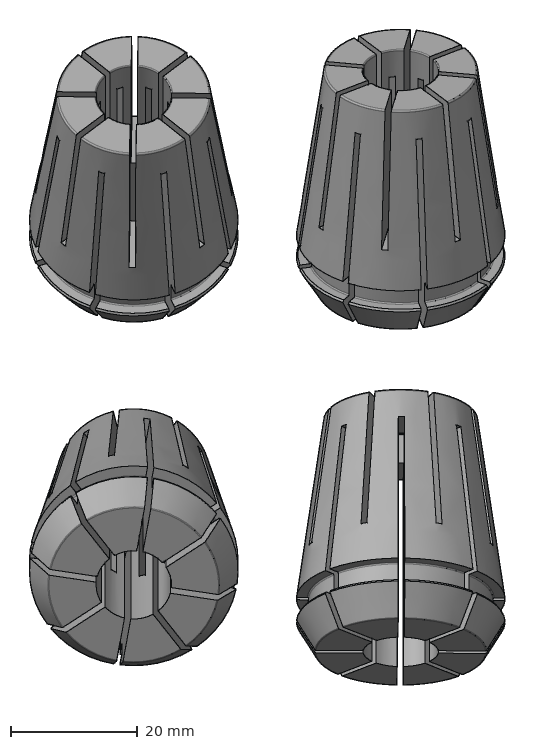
import cadquery as cq
import math

length = 40.0
max_radius = 16.5

bore_radius = 11.91 / 2

taper_angle = math.radians(8.0)
taper_base_z = 9.1

groove_radius = 14.6
groove_floor_z = 5.5
nose_angle = math.radians(30.0)
rim_chamfer_width = 0.25
rim_chamfer_height = 0.35

edge_radius = 0.2
taper_tip_radius = 0.3
selection_margin = 0.05

slot_count = 8
slot_width = 1.0
lower_slot_web = 5.0
upper_slot_depth = 24.0

slot_pitch = 360.0 / slot_count
taper_top_radius = max_radius - (length - taper_base_z) * math.tan(taper_angle)
rim_z = groove_floor_z - rim_chamfer_height
nose_radius = max_radius - rim_z * math.tan(nose_angle)


def circles_at(height, radius):
    """Select the circular edges of one radius at one height."""
    outer = radius + selection_margin
    inner = radius - selection_margin
    low = height - selection_margin
    high = height + selection_margin
    ring = cq.selectors.BoxSelector((-outer, -outer, low), (outer, outer, high), boundingbox=True)
    core = cq.selectors.BoxSelector((-inner, -inner, low), (inner, inner, high), boundingbox=True)
    return ring - core


def collet_body():
    """Revolve the half section of the collet about Z and round its small edges."""
    section = [
        (bore_radius, 0),
        (nose_radius, 0),
        (max_radius, rim_z),
        (max_radius - rim_chamfer_width, groove_floor_z),
        (groove_radius, groove_floor_z),
        (groove_radius, taper_base_z),
        (max_radius, taper_base_z),
        (taper_top_radius, length),
        (bore_radius, length),
    ]
    profile = cq.Workplane("XZ").polyline(section).close()
    body = profile.revolve(360, (0, 0, 0), (0, 1, 0))
    rounded_edges = [
        (0, nose_radius, edge_radius),
        (groove_floor_z, groove_radius, edge_radius),
        (taper_base_z, groove_radius, edge_radius),
        (length, taper_top_radius, taper_tip_radius),
        (length, bore_radius, edge_radius),
    ]
    for height, radius, rounding in rounded_edges:
        body = body.edges(circles_at(height, radius)).fillet(rounding)
    return body


def cut_slots(body, bottom_z, top_z, first_angle):
    """Cut evenly spaced radial slots from the bore out through the wall."""
    for index in range(slot_count):
        slot = (
            cq.Workplane("XY")
            .workplane(offset=bottom_z)
            .center(max_radius, 0)
            .rect(2 * max_radius, slot_width)
            .extrude(top_z - bottom_z)
            .rotate((0, 0, 0), (0, 0, 1), first_angle + index * slot_pitch)
        )
        body = body.cut(slot)
    return body


result = collet_body()
result = cut_slots(result, 0, length - lower_slot_web, 0)
result = cut_slots(result, length - upper_slot_depth, length, slot_pitch / 2)